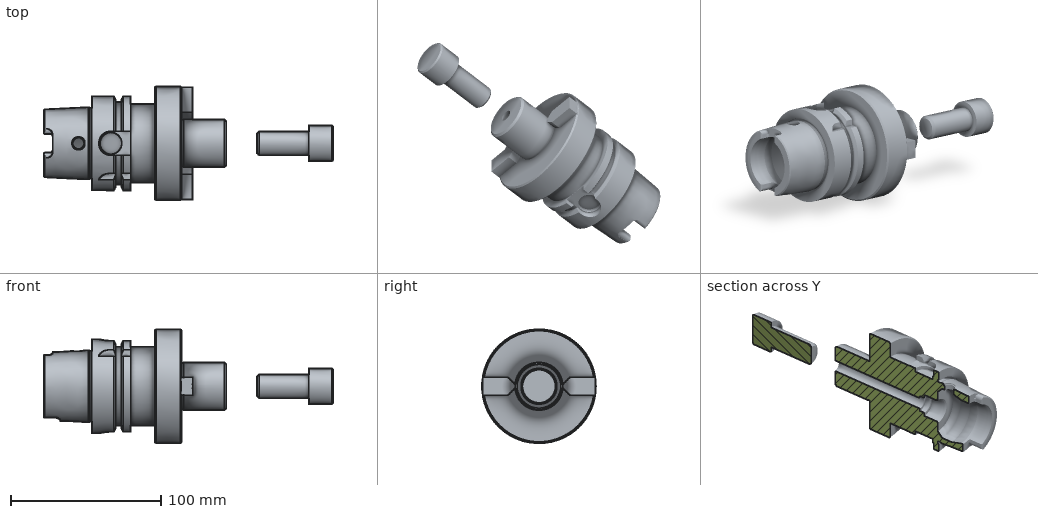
import cadquery as cq
import math


TAPER_END = 29.7
NECK_START = 30.7
FLANGE_START = 32.0
FLANGE_END = 57.9
DISC_START = 74.0
DISC_END = 92.0
SPIGOT_END = 121.8
SCREW_START = 142.0
SCREW_HEAD_START = 176.8
SCREW_END = 193.0

TAPER_NOSE_DIAMETER = 45.4
TAPER_END_DIAMETER = 48.2
NECK_DIAMETER = 47.5
FLANGE_DIAMETER = 63.0
BODY_DIAMETER = 52.7
DISC_DIAMETER = 76.0
SPIGOT_DIAMETER = 31.8
NOSE_CHAMFER = 0.8
DISC_CHAMFER = 1.0
SPIGOT_CHAMFER = 1.4

FACE_RECESS_DIAMETER = 50.2
FACE_RECESS_DEPTH = 0.8

GROOVE_DIAMETER = 55.2
GROOVE_FLOOR_START = 48.0
GROOVE_FLOOR_END = 51.7
GROOVE_WALL_HEIGHT = 1.4
GROOVE_MOUTH_OVERHANG = 1.4

RELIEF_DIAMETER = 31.3
RELIEF_WIDTH = 1.4

MOUTH_DIAMETER = 34.0
MOUTH_END = 12.7
CLAMP_DIAMETER = 38.6
CLAMP_START = 21.0
CLAMP_END = 32.8
BORE_FLOOR_DIAMETER = 31.3
THREAD_MOUTH_DIAMETER = 18.0
THREAD_DIAMETER = 16.2
THREAD_END = 44.4
SEAT_MOUTH_DIAMETER = 12.0
SEAT_DIAMETER = 11.4
SEAT_END = 48.2
COOLANT_DIAMETER = 8.0

DRIVE_SLOT_WIDTH = 12.2
UPPER_SLOT_DEPTH = 6.0
LOWER_SLOT_DEPTH = 11.0
DRIVE_SLOT_CORNER_RADIUS = 1.5
DRIVE_SLOT_RIM_RADIUS = 2.5
DRIVE_SLOT_NOSE_RADIUS = 1.2
TAPER_RADIUS_AT_SLOT = 22.8

CROSS_HOLE_X = 23.2
CROSS_HOLE_DIAMETER = 7.5
CROSS_HOLE_MOUTH_DIAMETER = 8.7
CROSS_HOLE_MOUTH_HEIGHT = 22.8

KEYWAY_WIDTH = 16.0
KEYWAY_CENTRE_X = 44.8
KEYWAY_FLOOR = 26.5
CHIP_POCKET_DIAMETER = 14.5
CHIP_POCKET_DEPTH = 2.7
NOTCH_CORNER = 20.0
NOTCH_CENTRE_X = 43.6

KEY_WIDTH = 12.0
KEY_HEIGHT = 7.1
KEY_OUTER_Y = 37.5
KEY_SHOULDER_Y = 20.7

SCREW_DIAMETER = 16.0
SCREW_HEAD_DIAMETER = 24.0
SCREW_TIP_CHAMFER = 1.5
SCREW_HEAD_CHAMFER = 1.0


def turned(profile):
    """Revolve (station, radius) points, closed along the X axis, about that axis."""
    start = profile[0][0]
    end = profile[-1][0]
    points = [(start, 0), *profile, (end, 0)]
    return cq.Workplane("XY").polyline(points).close().revolve(360, (0, 0, 0), (1, 0, 0))


def rod(start, end, diameter):
    return turned([(start, diameter / 2), (end, diameter / 2)])


def ring(start, end, outer_diameter, inner_diameter):
    return rod(start, end, outer_diameter).cut(rod(start, end, inner_diameter))


def box(x_range, y_range, z_range):
    size = [high - low for low, high in (x_range, y_range, z_range)]
    corner = (x_range[0], y_range[0], z_range[0])
    return cq.Workplane("XY").box(*size, centered=False).translate(corner)


def nose_taper():
    outside = turned([(0, TAPER_NOSE_DIAMETER / 2), (TAPER_END, TAPER_END_DIAMETER / 2)])
    return outside.faces("<X").chamfer(NOSE_CHAMFER)


def stepped_bore():
    return turned([
        (0, MOUTH_DIAMETER / 2),
        (MOUTH_END, MOUTH_DIAMETER / 2),
        (CLAMP_START, CLAMP_DIAMETER / 2),
        (CLAMP_END - (CLAMP_DIAMETER - BORE_FLOOR_DIAMETER) / 2, CLAMP_DIAMETER / 2),
        (CLAMP_END, BORE_FLOOR_DIAMETER / 2),
        (CLAMP_END, THREAD_MOUTH_DIAMETER / 2),
        (CLAMP_END + (THREAD_MOUTH_DIAMETER - THREAD_DIAMETER) / 2, THREAD_DIAMETER / 2),
        (THREAD_END, THREAD_DIAMETER / 2),
        (THREAD_END, SEAT_MOUTH_DIAMETER / 2),
        (THREAD_END + (SEAT_MOUTH_DIAMETER - SEAT_DIAMETER) / 2, SEAT_DIAMETER / 2),
        (SEAT_END, SEAT_DIAMETER / 2),
        (SEAT_END, COOLANT_DIAMETER / 2),
        (SPIGOT_END, COOLANT_DIAMETER / 2),
    ])


def nose_flare(half, height):
    """Rounding of the drive slot walls where they meet the nose face."""
    radius = DRIVE_SLOT_NOSE_RADIUS
    inset = radius * (1 - math.sqrt(0.5))
    return (
        cq.Workplane("XY")
        .moveTo(0, half + radius)
        .threePointArc((inset, half + inset), (radius, half))
        .lineTo(radius, -half)
        .threePointArc((inset, -half - inset), (0, -half - radius))
        .close()
        .extrude(height)
    )


def drive_slot(depth):
    """Cutter for the +Z drive slot: straight walls that round over onto the taper."""
    half = DRIVE_SLOT_WIDTH / 2
    top = TAPER_END_DIAMETER
    core = box((-depth, depth), (-half, half), (0, top)).edges("|Z").fillet(DRIVE_SLOT_CORNER_RADIUS)
    core = core.union(nose_flare(half, top))

    rim_centre_y = half + DRIVE_SLOT_RIM_RADIUS
    rim_centre_z = math.sqrt((TAPER_RADIUS_AT_SLOT - DRIVE_SLOT_RIM_RADIUS) ** 2 - rim_centre_y ** 2)
    rim_angle = math.atan2(rim_centre_z, rim_centre_y)
    middle_angle = (rim_angle + math.pi) / 2

    def on_rim(angle):
        return (
            rim_centre_y + DRIVE_SLOT_RIM_RADIUS * math.cos(angle),
            rim_centre_z + DRIVE_SLOT_RIM_RADIUS * math.sin(angle),
        )

    middle_y, middle_z = on_rim(middle_angle)
    rim_y, rim_z = on_rim(rim_angle)
    flare = (
        cq.Workplane("YZ")
        .moveTo(half, rim_centre_z)
        .threePointArc((middle_y, middle_z), (rim_y, rim_z))
        .lineTo(rim_y, top)
        .lineTo(-rim_y, top)
        .lineTo(-rim_y, rim_z)
        .threePointArc((-middle_y, middle_z), (-half, rim_centre_z))
        .close()
        .extrude(depth)
    )
    outline = box((-depth, depth), (-rim_y, rim_y), (0, top))
    outline = outline.edges("|Z").fillet(DRIVE_SLOT_CORNER_RADIUS + DRIVE_SLOT_RIM_RADIUS)
    return core.union(flare.intersect(outline))


def cut_drive_slots(taper):
    """Cut one slot at +Z and a deeper one at -Z."""
    return taper.cut(drive_slot(UPPER_SLOT_DEPTH)).cut(drive_slot(LOWER_SLOT_DEPTH).mirror("XY"))


def gripper_groove():
    """Ring cutter: flat floor, short upright walls, then sloping sides up to the rim."""
    floor = GROOVE_DIAMETER / 2
    wall_top = floor + GROOVE_WALL_HEIGHT
    rim = FLANGE_DIAMETER / 2
    mouth_start = GROOVE_FLOOR_START - GROOVE_MOUTH_OVERHANG
    mouth_end = GROOVE_FLOOR_END + GROOVE_MOUTH_OVERHANG
    profile = [
        (mouth_start, rim),
        (GROOVE_FLOOR_START, wall_top),
        (GROOVE_FLOOR_START, floor),
        (GROOVE_FLOOR_END, floor),
        (GROOVE_FLOOR_END, wall_top),
        (mouth_end, rim),
    ]
    return cq.Workplane("XY").polyline(profile).close().revolve(360, (0, 0, 0), (1, 0, 0))


def round_ended_slot(centre_x, centre_y, floor, height):
    """Vertical slot, open towards +X at the end of the flange, with a round -X end."""
    half = KEYWAY_WIDTH / 2
    end = cq.Workplane("XY", (centre_x, centre_y, floor)).circle(half).extrude(height)
    run = box(
        (centre_x, FLANGE_END),
        (centre_y - half, centre_y + half),
        (floor, floor + height),
    )
    return end.union(run)


def keyway():
    pocket_floor = KEYWAY_FLOOR - CHIP_POCKET_DEPTH
    pocket = (
        cq.Workplane("XY", (KEYWAY_CENTRE_X, 0, pocket_floor))
        .circle(CHIP_POCKET_DIAMETER / 2)
        .extrude(FLANGE_DIAMETER)
    )
    return round_ended_slot(KEYWAY_CENTRE_X, 0, KEYWAY_FLOOR, FLANGE_DIAMETER).union(pocket)


def orientation_notch():
    centre_y = -NOTCH_CORNER - KEYWAY_WIDTH / 2
    return round_ended_slot(NOTCH_CENTRE_X, centre_y, NOTCH_CORNER, FLANGE_DIAMETER)


def flange():
    body = rod(FLANGE_START, FLANGE_END, FLANGE_DIAMETER).cut(gripper_groove())
    return body.cut(orientation_notch())


def face_recess():
    recess_end = FLANGE_START + FACE_RECESS_DEPTH
    return ring(FLANGE_START, recess_end, FACE_RECESS_DIAMETER, NECK_DIAMETER)


def cross_hole():
    """Radial hole at +Z through the taper wall, with a wider mouth."""
    hole = (
        cq.Workplane("XY", (CROSS_HOLE_X, 0, 0))
        .circle(CROSS_HOLE_DIAMETER / 2)
        .extrude(TAPER_END_DIAMETER)
    )
    mouth = (
        cq.Workplane("XY", (CROSS_HOLE_X, 0, CROSS_HOLE_MOUTH_HEIGHT))
        .circle(CROSS_HOLE_MOUTH_DIAMETER / 2)
        .extrude(TAPER_END_DIAMETER)
    )
    return hole.union(mouth)


def drive_key():
    """Key on the disc at +Y, with a pointed inner end that runs into the spigot."""
    half = KEY_WIDTH / 2
    outline = [
        (KEY_OUTER_Y, -half),
        (KEY_OUTER_Y, half),
        (KEY_SHOULDER_Y, half),
        (KEY_SHOULDER_Y - half, 0),
        (KEY_SHOULDER_Y, -half),
    ]
    start = DISC_END - DISC_CHAMFER
    return cq.Workplane("YZ", (start, 0, 0)).polyline(outline).close().extrude(KEY_HEIGHT + DISC_CHAMFER)


def make_holder():
    taper = cut_drive_slots(nose_taper().cut(stepped_bore()))
    neck = turned([
        (TAPER_END, TAPER_END_DIAMETER / 2),
        (NECK_START, NECK_DIAMETER / 2),
        (FLANGE_START, NECK_DIAMETER / 2),
    ])
    body = rod(FLANGE_START, DISC_START, BODY_DIAMETER)
    disc = rod(DISC_START, DISC_END, DISC_DIAMETER).faces("<X or >X").chamfer(DISC_CHAMFER)
    relief_end = DISC_END + RELIEF_WIDTH
    relief = rod(DISC_END, relief_end, RELIEF_DIAMETER)
    spigot = rod(relief_end, SPIGOT_END, SPIGOT_DIAMETER).faces(">X").chamfer(SPIGOT_CHAMFER)

    holder = taper.union(neck).union(body).union(flange()).union(disc).union(relief).union(spigot)
    holder = holder.union(drive_key()).union(drive_key().mirror("XZ"))
    holder = holder.cut(keyway()).cut(keyway().mirror("XY"))
    return holder.cut(stepped_bore()).cut(cross_hole()).cut(face_recess())


def make_screw():
    shank = rod(SCREW_START, SCREW_HEAD_START, SCREW_DIAMETER).faces("<X").chamfer(SCREW_TIP_CHAMFER)
    head = rod(SCREW_HEAD_START, SCREW_END, SCREW_HEAD_DIAMETER).faces(">X").chamfer(SCREW_HEAD_CHAMFER)
    return shank.union(head)


holder = make_holder()
screw = make_screw()

result = cq.Compound.makeCompound([holder.val(), screw.val()])